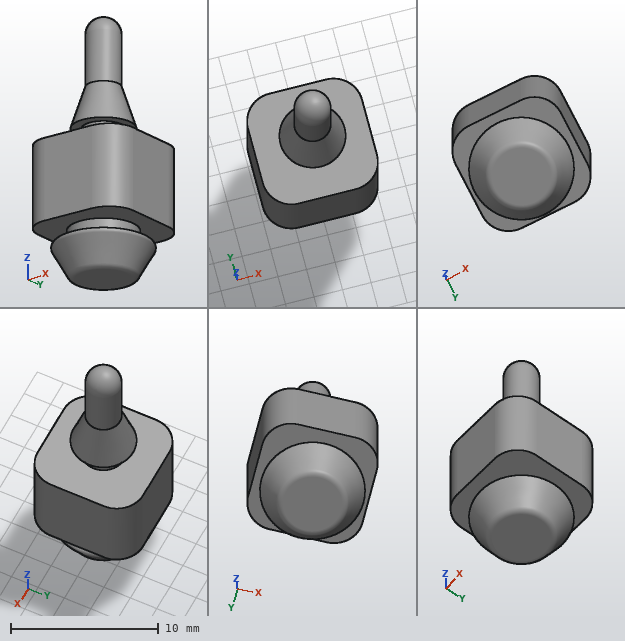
import cadquery as cq
import math

body_width = 8.0
body_height = 6.0
corner_radius = 2.0

foot_height = 2.5
foot_top_radius = 3.75
foot_taper_angle = 30.0
foot_rim_rounding = 0.25
foot_bottom_fillet = 0.5
lower_neck_radius = 2.5
lower_neck_length = 1.0

upper_neck_radius = 1.5
upper_neck_length = 1.4
barb_radius = 2.25
barb_height = 3.0
pin_radius = 1.25
overall_height = 18.9

body_bottom = foot_height + lower_neck_length
body_top = body_bottom + body_height
barb_bottom = body_top + upper_neck_length
barb_top = barb_bottom + barb_height
dome_start = overall_height - pin_radius


def cylinder(radius, bottom, top):
    """Upright cylinder on the Z axis between two levels."""
    return cq.Workplane("XY").workplane(offset=bottom).circle(radius).extrude(top - bottom)


def make_body():
    """Square block with rounded upright corners."""
    base = cq.Workplane("XY").workplane(offset=body_bottom)
    block = base.rect(body_width, body_width).extrude(body_height)
    return block.edges("|Z").fillet(corner_radius)


def make_foot():
    """Head that widens upward to a rounded rim, made of two arcs that meet at its widest point."""
    taper = math.radians(foot_taper_angle)
    foot_bottom_radius = foot_top_radius - foot_height * math.tan(taper)
    rim_z = foot_height - foot_rim_rounding
    rim_x = foot_top_radius - foot_rim_rounding * (math.tan(taper) + 1 / math.cos(taper))

    def rim_point(angle):
        """Point on the rim rounding, with the angle in degrees above the horizontal."""
        turn = math.radians(angle)
        return rim_x + foot_rim_rounding * math.cos(turn), rim_z + foot_rim_rounding * math.sin(turn)

    head = (
        cq.Workplane("XZ")
        .lineTo(foot_bottom_radius, 0)
        .lineTo(*rim_point(-foot_taper_angle))
        .threePointArc(rim_point(-foot_taper_angle / 2), rim_point(0))
        .threePointArc(rim_point(45), rim_point(90))
        .lineTo(0, foot_height)
        .close()
        .revolve(360, (0, 0), (0, 1))
    )
    return head.faces("<Z").edges().fillet(foot_bottom_fillet)


def make_pin():
    """Barb that tapers up into a round pin with a domed tip."""
    dome_mid = pin_radius * math.sin(math.radians(45))
    return (
        cq.Workplane("XZ")
        .moveTo(0, barb_bottom)
        .lineTo(barb_radius, barb_bottom)
        .lineTo(pin_radius, barb_top)
        .lineTo(pin_radius, dome_start)
        .threePointArc((dome_mid, dome_start + dome_mid), (0, overall_height))
        .close()
        .revolve(360, (0, 0), (0, 1))
    )


lower_neck = cylinder(lower_neck_radius, foot_height, body_bottom)
upper_neck = cylinder(upper_neck_radius, body_top, barb_bottom)

result = make_foot().union(lower_neck).union(make_body()).union(upper_neck).union(make_pin())